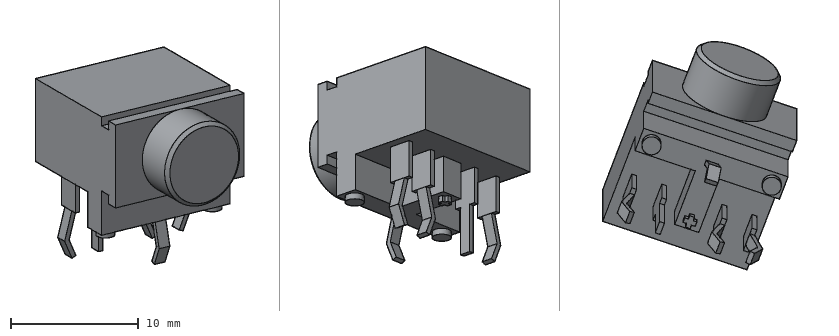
import cadquery as cq
import math

length = 15.0
width = 12.0
flange_front = 11.5
body_height = 7.0
base_depth = 10.0
base_back = 7.5
base_front = 9.5
flange_back = 10.5
groove_depth = 0.75

nose_radius = body_height / 2
nose_chamfer = 0.3

fin_back = 2.5
fin_front = 4.5
middle_fin_back = 2.75
middle_fin_width = 2.0

pin_width = 1.0
pin_thickness = 0.4
pin_tip_depth = 14.0
pin_bend_depth = 12.4
pin_bend_offset = 0.66
pin_x = (fin_back + fin_front) / 2
outer_pin_y = 5.0
inner_pin_y = 2.5

stud_height = 0.5
stud_diameter = 1.5
stud_x = (base_back + base_front) / 2
cross_span = 1.0
cross_arm_width = 0.4

middle_pin_x = 8.43


def box(x_min, x_max, y_center, y_size, z_bottom, z_top):
    """Axis-aligned block."""
    center = ((x_min + x_max) / 2, y_center, (z_bottom + z_top) / 2)
    return cq.Workplane("XY").box(x_max - x_min, y_size, z_top - z_bottom).translate(center)


def housing():
    """Body, front flange and base, with a groove behind the flange."""
    profile = [
        (0, 0),
        (base_front, 0),
        (base_front, -groove_depth),
        (flange_back, -groove_depth),
        (flange_back, 0),
        (flange_front, 0),
        (flange_front, -body_height),
        (flange_back, -body_height),
        (flange_back, groove_depth - body_height),
        (base_front, groove_depth - body_height),
        (base_front, -base_depth),
        (base_back, -base_depth),
        (base_back, -body_height),
        (0, -body_height),
    ]
    return cq.Workplane("XZ").polyline(profile).close().extrude(width / 2, both=True)


def nose():
    """Solid cylinder along X with a chamfered front rim."""
    return (
        cq.Workplane("YZ", origin=(flange_front, 0, -body_height / 2))
        .circle(nose_radius)
        .extrude(length - flange_front)
        .faces(">X")
        .chamfer(nose_chamfer)
    )


def fin(y):
    """Thin plate under the body, as thick as its pin."""
    return box(fin_back, fin_front, y, pin_thickness, -base_depth, -body_height)


def bent_pin():
    """Strip that leans towards +X and then back, rooted in the underside at X = Y = 0."""
    half = pin_thickness / 2
    lean = math.atan2(pin_bend_offset, pin_bend_depth - base_depth)
    back_lean = math.atan2(pin_bend_offset, pin_tip_depth - pin_bend_depth)
    end_depth = pin_tip_depth - half * math.sin(back_lean)
    root_half = half / math.cos(lean)
    mitre = half / math.cos((lean + back_lean) / 2)
    mitre_tilt = (back_lean - lean) / 2
    mitre_x = mitre * math.cos(mitre_tilt)
    mitre_z = mitre * math.sin(mitre_tilt)
    end_x = half * math.cos(back_lean)
    end_z = half * math.sin(back_lean)
    profile = [
        (-root_half, -base_depth),
        (root_half, -base_depth),
        (pin_bend_offset + mitre_x, -pin_bend_depth - mitre_z),
        (end_x, -end_depth - end_z),
        (-end_x, -end_depth + end_z),
        (pin_bend_offset - mitre_x, -pin_bend_depth + mitre_z),
    ]
    return cq.Workplane("XZ").polyline(profile).close().extrude(pin_width / 2, both=True)


def side_pin(y, turn):
    """Bent pin under a fin; a turn of +90 leans it to +Y, -90 to -Y."""
    return bent_pin().rotate((0, 0, 0), (0, 0, 1), turn).translate((pin_x, y, 0))


result = housing().union(nose())

for y in (outer_pin_y, inner_pin_y, -inner_pin_y, -outer_pin_y):
    result = result.union(fin(y))

for y, turn in ((outer_pin_y, 90), (inner_pin_y, -90), (-outer_pin_y, -90)):
    result = result.union(side_pin(y, turn))
straight_pin = box(
    pin_x - pin_width / 2, pin_x + pin_width / 2, -inner_pin_y, pin_thickness, -pin_tip_depth, -base_depth
)
result = result.union(straight_pin)

result = result.union(box(middle_fin_back, base_back, 0, middle_fin_width, -base_depth, -body_height))

for y in (outer_pin_y, -outer_pin_y):
    stud = (
        cq.Workplane("XY", origin=(stud_x, y, -base_depth))
        .circle(stud_diameter / 2)
        .extrude(-stud_height)
    )
    result = result.union(stud)

for x_size, y_size in ((cross_span, cross_arm_width), (cross_arm_width, cross_span)):
    cross_bar = box(
        pin_x - x_size / 2, pin_x + x_size / 2, 0, y_size, -base_depth - stud_height, -base_depth
    )
    result = result.union(cross_bar)

result = result.union(bent_pin().translate((middle_pin_x, 0, 0)))